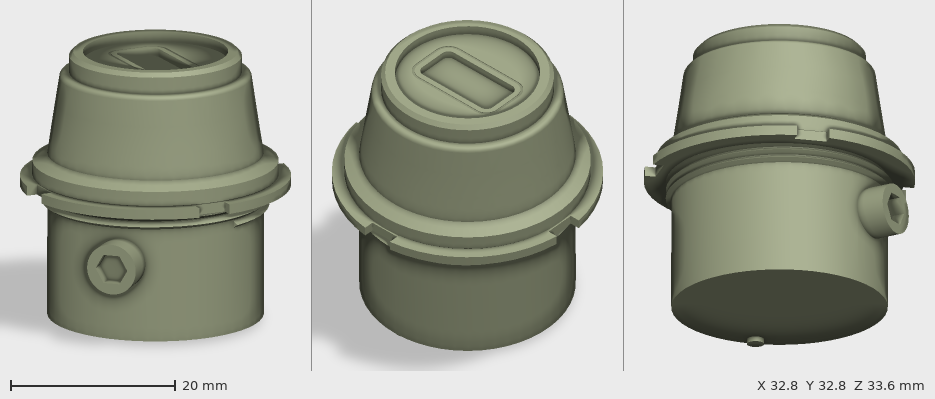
import cadquery as cq
import math

total_height = 33.65
pin_height = 0.6
flange_bottom = 16.85
flange_thickness = 1.2
collar_height = 1.9
collar_bevel_height = 0.95
shoulder_height = 31.07

flange_top = flange_bottom + flange_thickness
collar_top = flange_top + collar_height
cone_bottom = collar_top + collar_bevel_height

body_radius = 13.2
flange_radius = 16.53
collar_radius = 15.0
collar_undercut = 0.1
cone_top_radius = 11.65
shoulder_round = 0.6
cap_radius = 10.55
cap_chamfer = 0.5

notch_count = 4
notch_width = 4.05
notch_floor = 15.08

thread_pitch = 1.0
thread_depth = 0.67
thread_overlap = 0.07
thread_fill = 0.95
thread_start = 14.3
thread_start_angle = 20.0

recess_radius = 8.85
recess_depth = 1.25
frame_length = 13.53
frame_width = 7.7
frame_corner = 2.02
groove_width = 0.35
groove_depth = 0.1
pocket_length = 11.5
pocket_width = 5.65
pocket_corner = 1.0
pocket_depth = 1.0

screw_angle = -45.0
screw_height = 10.3
screw_radius = 3.13
screw_reach = 16.43
screw_root = 10.1
hex_across_flats = 3.55
hex_depth = 1.6

pin_radius = 1.05
pin_offset = 11.65


def make_body():
    """Barrel, flange, bevelled collar and cone, turned in one piece."""
    profile = [
        (0, pin_height),
        (body_radius, pin_height),
        (body_radius, flange_bottom),
        (flange_radius, flange_bottom),
        (flange_radius, flange_top),
        (collar_radius - collar_undercut, flange_top),
        (collar_radius, flange_top + collar_undercut),
        (collar_radius, collar_top),
        (body_radius, cone_bottom),
        (cone_top_radius, shoulder_height),
        (0, shoulder_height),
    ]
    body = cq.Workplane("YZ").polyline(profile).close().revolve(360, (0, 0, 0), (0, 1, 0))
    body = body.faces(">Z").edges().fillet(shoulder_round)
    cap = (
        cq.Workplane("XY").workplane(offset=shoulder_height)
        .circle(cap_radius).extrude(total_height - shoulder_height)
        .faces(">Z").edges().chamfer(cap_chamfer)
    )
    return body.union(cap)


def cut_notches(part):
    notch_depth = flange_radius - notch_floor
    notch = (
        cq.Workplane("XY").workplane(offset=flange_bottom)
        .center(notch_floor + notch_depth / 2, 0)
        .rect(notch_depth, notch_width).extrude(flange_thickness)
    )
    for i in range(notch_count):
        part = part.cut(notch.rotate((0, 0, 0), (0, 0, 1), i * 360 / notch_count))
    return part


def make_thread():
    """Right-handed V ridge that runs up into the flange."""
    thread_length = flange_bottom + flange_thickness / 2 - thread_start
    base_radius = body_radius - thread_overlap
    base_half = thread_pitch * thread_fill / 2
    helix = cq.Wire.makeHelix(thread_pitch, thread_length, base_radius)
    ridge = (
        cq.Workplane("XZ")
        .moveTo(base_radius, -base_half)
        .lineTo(body_radius + thread_depth, 0)
        .lineTo(base_radius, base_half)
        .close()
        .sweep(cq.Workplane(helix), isFrenet=True)
    )
    return ridge.rotate((0, 0, 0), (0, 0, 1), thread_start_angle).translate((0, 0, thread_start))


def rounded_block(length, width, corner, top, depth):
    return (
        cq.Workplane("XY").workplane(offset=top - depth)
        .rect(length, width).extrude(depth)
        .edges("|Z").fillet(corner)
    )


def cut_top(part):
    recess_floor = total_height - recess_depth
    recess = cq.Workplane("XY").workplane(offset=recess_floor).circle(recess_radius).extrude(recess_depth)
    groove = rounded_block(frame_length, frame_width, frame_corner, recess_floor, groove_depth).cut(
        rounded_block(
            frame_length - 2 * groove_width,
            frame_width - 2 * groove_width,
            frame_corner - groove_width,
            recess_floor,
            groove_depth,
        )
    )
    pocket = rounded_block(pocket_length, pocket_width, pocket_corner, recess_floor, pocket_depth)
    return part.cut(recess).cut(groove).cut(pocket)


def make_screw():
    """Socket head modelled along +X, then turned to its place."""
    hex_diameter = hex_across_flats / math.cos(math.pi / 6)
    screw = (
        cq.Workplane("YZ").workplane(offset=screw_root)
        .circle(screw_radius).extrude(screw_reach - screw_root)
        .faces(">X").workplane()
        .polygon(6, hex_diameter).cutBlind(-hex_depth)
    )
    return screw.rotate((0, 0, 0), (0, 0, 1), screw_angle).translate((0, 0, screw_height))


def make_pin():
    return cq.Workplane("XY").center(0, pin_offset).circle(pin_radius).extrude(pin_height)


result = (
    cut_top(cut_notches(make_body()))
    .union(make_thread())
    .union(make_screw())
    .union(make_pin())
)